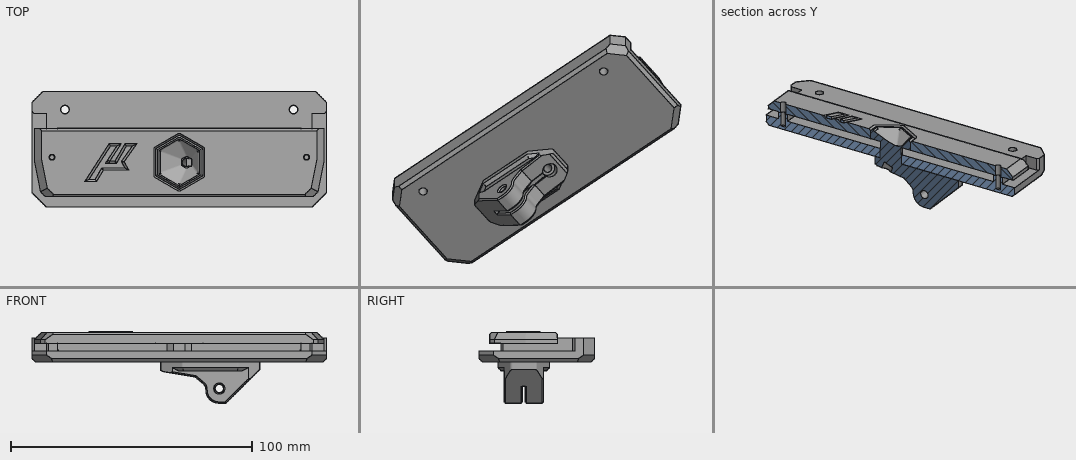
import cadquery as cq
import math

plate_top = 4.6
wall_top = 10.0
cover_bottom = 7.7
cover_top = 12.3
inlay_top = 12.7

plate_length = 122.2
plate_width = 48.0
front_corner = 6.0
back_corner = 4.5
edge_bevel = 1.5
corner_bevel = 2.9
plate_x = plate_length / 2
plate_y = plate_width / 2

block_front = 14.8
arm_outer_x = 55.1
arm_inner_x = 50.5
arm_front = -14.9
wall_corner = 1.0
pocket_back = 8.9
pocket_round = 0.4
mounting_hole_diameter = 3.4
mounting_hole_x = 47.4
mounting_hole_y = 16.5

cover_x = 60.1
cover_back = 8.5
cover_front = -19.5
cover_bend_y = -4.6
cover_corner_x = 57.6
cover_corner_y = -17.6
cover_front_x = 55.6
cover_edge_bevel = 0.9
cover_end_bevel = 3.0
screw_hole_diameter = 2.5
pilot_hole_diameter = 2.0
pilot_hole_depth = 6.1
screw_x = (arm_outer_x + arm_inner_x) / 2
screw_y = -3.3

funnel_y = -5.4
head_flat = 9.8
groove = 0.7
head_corner_round = 1.2
mouth_bevel = 0.6
mouth_flat = 8.4
throat_flat = 2.2
funnel_valley_round = 1.0
throat_x = 3.0
throat_z = 8.1
post_half_width = 5.1
post_corner_x = 2.8
post_corner_y = 2.0
tube_diameter = 3.4
outlet_diameter = 6.0
outlet_x = -2.2
outlet_z = -4.9

flange_left = -7.7
flange_right = 33.5
flange_half_width = 10.8
flange_corner_x = 9.0
flange_corner_y = 5.5
flange_corner_round = 1.3
flange_depth = 3.7
flange_bevel = 1.3
lug_half_width = 8.2
lug_bottom = -17.1
lug_bevel = 0.6
slot_width = 1.1
slot_high_x = 2.5
slot_high_z = -5.1
slot_low_x = 26.2
slot_low_z = -10.1
hinge_x = 16.6
hinge_z = -11.0
hinge_hole_diameter = 3.4

inlay_depth = 0.7
inlay_margin = 1.0

clear = 36.7


def mirrored(right_half):
    """Closed counterclockwise outline from its right half, listed front to back."""
    return right_half + [(-x, y) for x, y in reversed(right_half)]


def prism(points, bottom, top):
    return cq.Workplane("XY").workplane(offset=bottom).polyline(points).close().extrude(top - bottom)


def bevel_cutter(start, end, depth, edge_z, upward):
    """45 degree cutter along one side of a counterclockwise outline."""
    along = (end[0] - start[0], end[1] - start[1], 0)
    outward = (along[1], -along[0], 0)
    plane = cq.Plane(origin=(start[0], start[1], edge_z), xDir=outward, normal=along)
    away = clear if upward else -clear
    section = [(-depth, 0), (clear, 0), (clear, away + math.copysign(depth, away))]
    reach = 2 * plate_length
    return cq.Workplane(plane).polyline(section).close().extrude(reach, both=True)


def bevel_outline(body, outline, depths, edge_z, upward):
    for i, depth in enumerate(depths):
        end = outline[(i + 1) % len(outline)]
        body = body.cut(bevel_cutter(outline[i], end, depth, edge_z, upward))
    return body


def loft_between(lower, lower_z, upper, upper_z):
    """Straight-sided body between two level outlines."""
    lower_wire = cq.Workplane("XY").workplane(offset=lower_z).polyline(lower).close()
    upper_wire = lower_wire.workplane(offset=upper_z - lower_z).polyline(upper).close()
    return upper_wire.loft(ruled=True)


def flat_hexagon(half_flat, bottom, height):
    """Hexagonal prism with flats towards +X and -X."""
    return prism(hexagon_points(half_flat, 0), bottom, bottom + height)


def hexagon_points(half_flat, center_x):
    radius = half_flat / math.cos(math.radians(30))
    angles = [math.radians(30 + 60 * i) for i in range(6)]
    return [(center_x + radius * math.cos(a), funnel_y + radius * math.sin(a)) for a in angles]


def octagon_prism(left, right, half_width, corner_x, corner_y, bottom, top):
    """Rectangle with cut corners, centred on the funnel in Y."""
    points = [
        (left + corner_x, -half_width),
        (right - corner_x, -half_width),
        (right, corner_y - half_width),
        (right, half_width - corner_y),
        (right - corner_x, half_width),
        (left + corner_x, half_width),
        (left, half_width - corner_y),
        (left, corner_y - half_width),
    ]
    return prism([(x, y + funnel_y) for x, y in points], bottom, top)


def vertical_hole(x, y, diameter, bottom, top):
    return cq.Workplane("XY", origin=(x, y, bottom)).circle(diameter / 2).extrude(top - bottom)


def wall_block(half_length, front):
    """Block on the plate from a front line to the back edge, with bevelled front corners."""
    block = cq.Workplane("XY").box(
        2 * half_length, plate_y - front, wall_top - plate_top, centered=(True, False, False)
    ).translate((0, front, plate_top))
    return block.edges("|Z and <Y").chamfer(wall_corner)


def make_base():
    outline = mirrored([
        (plate_x - front_corner, -plate_y),
        (plate_x, front_corner - plate_y),
        (plate_x, plate_y - back_corner),
        (plate_x - back_corner, plate_y),
    ])
    base = prism(outline, 0, wall_top)

    wall = wall_block(plate_x, block_front).union(wall_block(arm_outer_x, arm_front))
    base = base.intersect(prism(outline, 0, plate_top).union(wall))

    pocket = cq.Workplane("XY").box(
        2 * arm_inner_x, pocket_back + plate_y, wall_top, centered=(True, False, False)
    ).translate((0, -plate_y, plate_top))
    pocket = pocket.edges(">Y and (|Z or <Z)").fillet(pocket_round)
    base = base.cut(pocket)

    corner_and_straight = [corner_bevel, edge_bevel] * (len(outline) // 2)
    base = bevel_outline(base, outline, corner_and_straight, 0, upward=False)
    for side in (-1, 1):
        base = base.cut(vertical_hole(
            side * mounting_hole_x, mounting_hole_y, mounting_hole_diameter, 0, wall_top))
        base = base.cut(vertical_hole(
            side * screw_x, screw_y, pilot_hole_diameter, cover_bottom - pilot_hole_depth, wall_top))
    cover_seat = prism(make_cover_outline(), cover_bottom, wall_top)
    return base.cut(cover_seat).cut(make_post())


def make_cover_outline():
    return mirrored([
        (cover_front_x, cover_front),
        (cover_corner_x, cover_corner_y),
        (cover_x, cover_bend_y),
        (cover_x, cover_back),
    ])


def make_head(oversize):
    """Hexagonal head with rounded corners."""
    head = flat_hexagon(head_flat + oversize, cover_bottom, cover_top - cover_bottom)
    return head.edges("|Z").fillet(head_corner_round)


def make_cover():
    outline = make_cover_outline()
    end_and_long_edge = [cover_end_bevel, cover_end_bevel, cover_end_bevel, cover_edge_bevel]
    depths = 2 * end_and_long_edge
    cover = prism(outline, cover_bottom, cover_top)
    cover = bevel_outline(cover, outline, depths, cover_top, upward=True)
    for side in (-1, 1):
        cover = cover.cut(vertical_hole(
            side * screw_x, screw_y, screw_hole_diameter, cover_bottom, cover_top))

    cover = cover.cut(make_head(0))
    flare = make_head(groove).faces("<Z").edges().chamfer(groove)
    flare = flare.translate((0, 0, cover_top - groove - cover_bottom))
    cover = cover.cut(flare)

    wall_slope = math.degrees(math.atan(inlay_margin / inlay_depth))
    recess = inlay_outline(cover_top).extrude(-inlay_depth, taper=wall_slope)
    return cover.cut(recess).cut(make_inlay())


def inlay_outline(z):
    return cq.Workplane("XY").workplane(offset=z).polyline([
        (-39.2, -13.5), (-34.4, -13.5), (-31.5, -8.7), (-20.9, -8.7), (-22.9, -5.1), (-17.6, 2.3),
        (-22.5, 2.3), (-26.7, -4.9), (-28.9, -4.9), (-24.1, 2.3), (-29.1, 2.3),
    ]).close()


def make_inlay():
    bottom = cover_top - inlay_depth
    return inlay_outline(bottom).offset2D(-inlay_margin, "intersection").extrude(inlay_top - bottom)


def lug_profile(width, y_center):
    """Side outline of the mount, extruded along Y."""
    profile = (
        cq.Workplane("XZ", origin=(0, y_center + width / 2, 0))
        .moveTo(flange_left, 0)
        .lineTo(flange_left, -3.4)
        .lineTo(-6.6, -4.0)
        .lineTo(6.6, -6.2)
        .lineTo(9.7, -8.8)
        .threePointArc((10.6, -9.9), (11.0, -11.5))
        .threePointArc((12.6, -15.5), (16.6, lug_bottom))
        .lineTo(19.3, lug_bottom)
        .lineTo(flange_right, -3.0)
        .lineTo(flange_right, 0)
        .close()
    )
    return profile.extrude(width)


def make_flange_prism(bottom):
    prism_body = octagon_prism(
        flange_left, flange_right, flange_half_width, flange_corner_x, flange_corner_y, bottom, 0)
    return prism_body.edges("|Z").fillet(flange_corner_round)


def make_mount():
    outer = make_flange_prism(lug_bottom)

    flange = make_flange_prism(-flange_depth).faces("<Z").edges().chamfer(flange_bevel)
    mount = lug_profile(2 * flange_half_width, funnel_y).intersect(flange)

    half_width = lug_half_width - slot_width / 2
    for side in (-1, 1):
        half_center = funnel_y + side * (lug_half_width + slot_width / 2) / 2
        half = lug_profile(half_width, half_center)
        hole = cq.Workplane("XZ", origin=(hinge_x, 0, hinge_z)).circle(hinge_hole_diameter / 2)
        half = half.cut(hole.extrude(clear, both=True))
        mount = mount.union(half.faces("|Y").edges().chamfer(lug_bevel))

    web = lug_profile(slot_width + 2 * lug_bevel, funnel_y)
    above_slot = cq.Workplane("XZ").polyline([
        (flange_left, 0),
        (flange_left, slot_high_z),
        (slot_high_x, slot_high_z),
        (slot_low_x, slot_low_z),
        (flange_right, slot_low_z),
        (flange_right, 0),
    ]).close().extrude(clear, both=True)
    mount = mount.union(web.intersect(above_slot))
    return mount.intersect(outer)


def make_post():
    return octagon_prism(
        -post_half_width, post_half_width, post_half_width, post_corner_x, post_corner_y, 0, cover_bottom)


def make_funnel_mount():
    head = make_head(0).faces(">Z").edges().chamfer(groove)
    body = make_mount().union(make_post()).union(head)

    rim_z = cover_top - mouth_bevel
    throat = hexagon_points(throat_flat, throat_x)
    rim_bottom = hexagon_points(mouth_flat - mouth_bevel, 0)
    rim_top = hexagon_points(mouth_flat, 0)
    funnel = loft_between(throat, throat_z, rim_bottom, rim_z)
    funnel = funnel.edges("not #Z").fillet(funnel_valley_round)
    rim = loft_between(rim_bottom, rim_z, rim_top, cover_top)
    body = body.cut(funnel).cut(rim)

    direction = cq.Vector(throat_x - outlet_x, 0, throat_z - outlet_z)
    outlet = cq.Vector(outlet_x, funnel_y, outlet_z)
    tube = cq.Solid.makeCylinder(tube_diameter / 2, direction.Length, outlet, direction)
    widening_start = outlet - direction.normalized() * (outlet_diameter / 2)
    widening = cq.Solid.makeCylinder(outlet_diameter / 2, outlet_diameter, widening_start, direction)
    return body.cut(cq.Workplane(tube)).cut(cq.Workplane(widening))


base = make_base()
cover = make_cover()
funnel_mount = make_funnel_mount()
inlay = make_inlay()

result = cq.Compound.makeCompound([body.solids().val() for body in (base, cover, funnel_mount, inlay)])